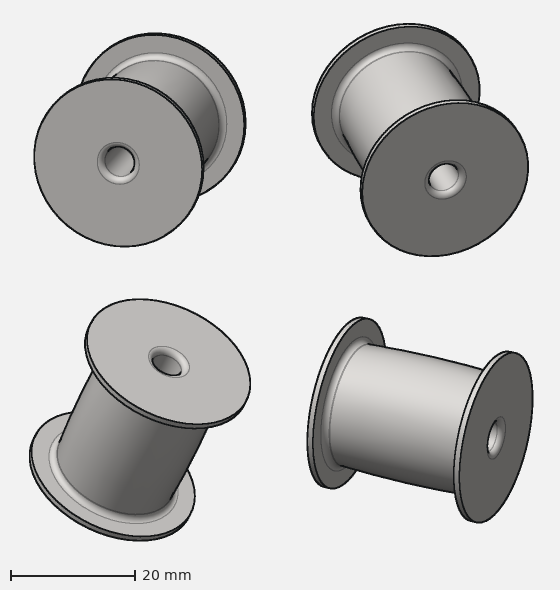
import cadquery as cq

flange_radius = 14.0
spool_length = 27.0
flange_thickness = 1.0

barrel_end_radius = 10.05
barrel_middle_radius = 10.4
root_fillet_radius = 1.0
land_length = 0.1

bore_radius = 2.5
mouth_radius = 1.0

end_y = spool_length / 2
flange_inner_y = end_y - flange_thickness
fillet_end_y = flange_inner_y - root_fillet_radius
crown_end_y = fillet_end_y - land_length
fillet_outer_radius = barrel_end_radius + root_fillet_radius


def solid_spool():
    """Revolve the half section around the Y axis."""
    section = (
        cq.Workplane("XY")
        .moveTo(0, -end_y)
        .lineTo(flange_radius, -end_y)
        .lineTo(flange_radius, -flange_inner_y)
        .lineTo(fillet_outer_radius, -flange_inner_y)
        .radiusArc((barrel_end_radius, -fillet_end_y), root_fillet_radius)
        .lineTo(barrel_end_radius, -crown_end_y)
        .threePointArc((barrel_middle_radius, 0), (barrel_end_radius, crown_end_y))
        .lineTo(barrel_end_radius, fillet_end_y)
        .radiusArc((fillet_outer_radius, flange_inner_y), root_fillet_radius)
        .lineTo(flange_radius, flange_inner_y)
        .lineTo(flange_radius, end_y)
        .lineTo(0, end_y)
        .close()
    )
    return section.revolve(360, (0, 0), (0, 1))


def add_bore(spool):
    """Cut the bore along Y and round both of its mouths."""
    bore = cq.Workplane("XZ").circle(bore_radius).extrude(end_y, both=True)
    mouth_reach = bore_radius + mouth_radius / 2
    mouth_edges = cq.selectors.BoxSelector(
        (-mouth_reach, -spool_length, -mouth_reach),
        (mouth_reach, spool_length, mouth_reach),
        boundingbox=True,
    )
    return spool.cut(bore).edges(mouth_edges).edges("%CIRCLE").fillet(mouth_radius)


result = add_bore(solid_spool())